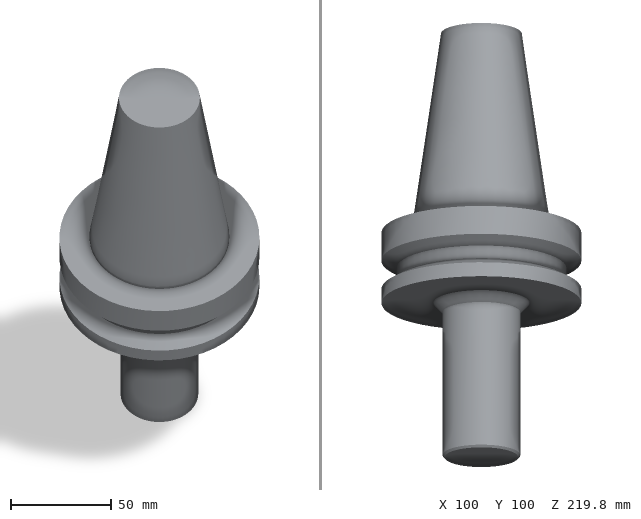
import cadquery as cq

total_height = 219.8
flange_bottom = 80.0
flange_top = 116.5
gauge_height = 118.0
lower_rim_top = 87.3
groove_bottom = 91.5
groove_top = 98.0
upper_rim_bottom = 102.0

shank_diameter = 39.0
collar_diameter = 48.4
flange_diameter = 100.0
groove_diameter = 85.0
taper_large_diameter = 70.0
taper_small_diameter = 40.5

collar_height = 4.8
shank_chamfer = 1.0

shank_radius = shank_diameter / 2
collar_radius = collar_diameter / 2
flange_radius = flange_diameter / 2
groove_radius = groove_diameter / 2
taper_large_radius = taper_large_diameter / 2
taper_small_radius = taper_small_diameter / 2

shank_section = [
    (0, 0),
    (shank_radius - shank_chamfer, 0),
    (shank_radius, shank_chamfer),
    (shank_radius, flange_bottom - collar_height),
    (collar_radius, flange_bottom),
]
flange_section = [
    (flange_radius, flange_bottom),
    (flange_radius, lower_rim_top),
    (groove_radius, groove_bottom),
    (groove_radius, groove_top),
    (flange_radius, upper_rim_bottom),
    (flange_radius, flange_top),
]
taper_section = [
    (taper_large_radius, flange_top),
    (taper_large_radius, gauge_height),
    (taper_small_radius, total_height),
    (0, total_height),
]

result = (
    cq.Workplane("XZ")
    .polyline(shank_section + flange_section + taper_section)
    .close()
    .revolve(360, (0, 0, 0), (0, 1, 0))
)